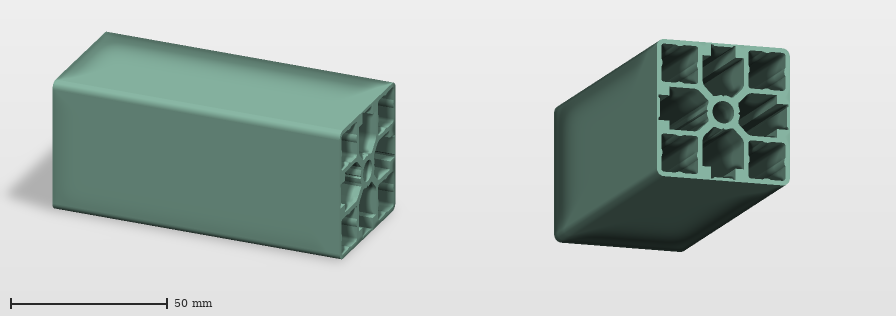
import cadquery as cq
import math

LENGTH = 100.0
SIDE = 45.0
HALF_SIDE = SIDE / 2
CORNER_RADIUS = 2.5
WALL = 1.5

BORE_DIAMETER = 7.3
HUB_WALL = 2.0
HUB_RADIUS = BORE_DIAMETER / 2 + HUB_WALL

SLOT_WIDTH = 14.0
NECK_WIDTH = 8.3
LIP_DEPTH = 4.3
FLOOR_HEIGHT = 5.1
FLOOR_WIDTH = 6.8
FLANK_FILLET = 3.0
NOTCH_WIDTH = 1.0

COVER_THICKNESS = 1.0
COVER_WIDTH = 6.0
TEAR_SKIN = 0.5

CHAMBER_SIDE = HALF_SIDE - SLOT_WIDTH / 2 - 2 * WALL
CHAMBER_CENTRE = HALF_SIDE - WALL - CHAMBER_SIDE / 2
CHAMBER_FILLET = 1.0
RIDGE_WIDTH = 2.8
RIDGE_HEIGHT = 0.4

SELECT_MARGIN = 0.1

QUARTER_TURNS = (0, 90, 180, 270)


def turned(solid, angle):
    """Copy of a solid turned about the bar axis."""
    return solid.rotate((0, 0, 0), (1, 0, 0), angle)


def extruded(profile):
    """Extrude a YZ profile over the full bar length."""
    return profile.extrude(LENGTH / 2, both=True)


def make_bar():
    """Solid square bar with rounded long edges."""
    bar = extruded(cq.Workplane("YZ").rect(SIDE, SIDE))
    return bar.edges("|X").fillet(CORNER_RADIUS)


def make_bore():
    """Round bore along the bar axis."""
    return extruded(cq.Workplane("YZ").circle(BORE_DIAMETER / 2))


def make_chamber():
    """Rounded square chamber with a low domed ridge along the middle of each wall."""
    half = CHAMBER_SIDE / 2
    half_ridge = RIDGE_WIDTH / 2
    crest = half - RIDGE_HEIGHT

    chamber = extruded(cq.Workplane("YZ").rect(CHAMBER_SIDE, CHAMBER_SIDE))
    chamber = chamber.edges("|X").fillet(CHAMBER_FILLET)
    ridge = extruded(
        cq.Workplane("YZ")
        .moveTo(-half_ridge, half)
        .threePointArc((0, crest), (half_ridge, half))
        .close()
    )
    for angle in QUARTER_TURNS:
        chamber = chamber.cut(turned(ridge, angle))
    return chamber


def make_slot():
    """T-slot cavity behind the +Z face, with a domed and notched floor."""
    half_slot = SLOT_WIDTH / 2
    half_neck = NECK_WIDTH / 2
    half_floor = FLOOR_WIDTH / 2
    half_cover = COVER_WIDTH / 2
    half_notch = NOTCH_WIDTH / 2

    bend_z = FLOOR_HEIGHT + half_slot - half_floor
    lip_z = HALF_SIDE - LIP_DEPTH
    skin_z = HALF_SIDE - TEAR_SKIN
    cover_z = HALF_SIDE - COVER_THICKNESS
    half_skin = half_cover + COVER_THICKNESS - TEAR_SKIN

    hub_edge = math.sqrt(HUB_RADIUS**2 - FLOOR_HEIGHT**2)
    notch_z = math.sqrt(HUB_RADIUS**2 - half_notch**2)
    mid_y = (hub_edge + half_notch) / 2
    mid_z = math.sqrt(HUB_RADIUS**2 - mid_y**2)

    slot = extruded(
        cq.Workplane("YZ")
        .moveTo(0, FLOOR_HEIGHT)
        .lineTo(half_notch, notch_z)
        .threePointArc((mid_y, mid_z), (hub_edge, FLOOR_HEIGHT))
        .lineTo(half_floor, FLOOR_HEIGHT)
        .lineTo(half_slot, bend_z)
        .lineTo(half_slot, lip_z)
        .lineTo(half_neck, lip_z)
        .lineTo(half_neck, skin_z)
        .lineTo(half_skin, skin_z)
        .lineTo(half_cover, cover_z)
        .lineTo(-half_cover, cover_z)
        .lineTo(-half_skin, skin_z)
        .lineTo(-half_neck, skin_z)
        .lineTo(-half_neck, lip_z)
        .lineTo(-half_slot, lip_z)
        .lineTo(-half_slot, bend_z)
        .lineTo(-half_floor, FLOOR_HEIGHT)
        .lineTo(-hub_edge, FLOOR_HEIGHT)
        .threePointArc((-mid_y, mid_z), (-half_notch, notch_z))
        .close()
    )

    bend_box = cq.selectors.BoxSelector(
        (-LENGTH, -SLOT_WIDTH, bend_z - SELECT_MARGIN),
        (LENGTH, SLOT_WIDTH, bend_z + SELECT_MARGIN),
    )
    return slot.edges("|X").edges(bend_box).fillet(FLANK_FILLET)


slot = make_slot()
corner_chamber = make_chamber().translate((0, CHAMBER_CENTRE, CHAMBER_CENTRE))

result = make_bar().cut(make_bore())
for angle in QUARTER_TURNS:
    result = result.cut(turned(slot, angle))
    result = result.cut(turned(corner_chamber, angle))